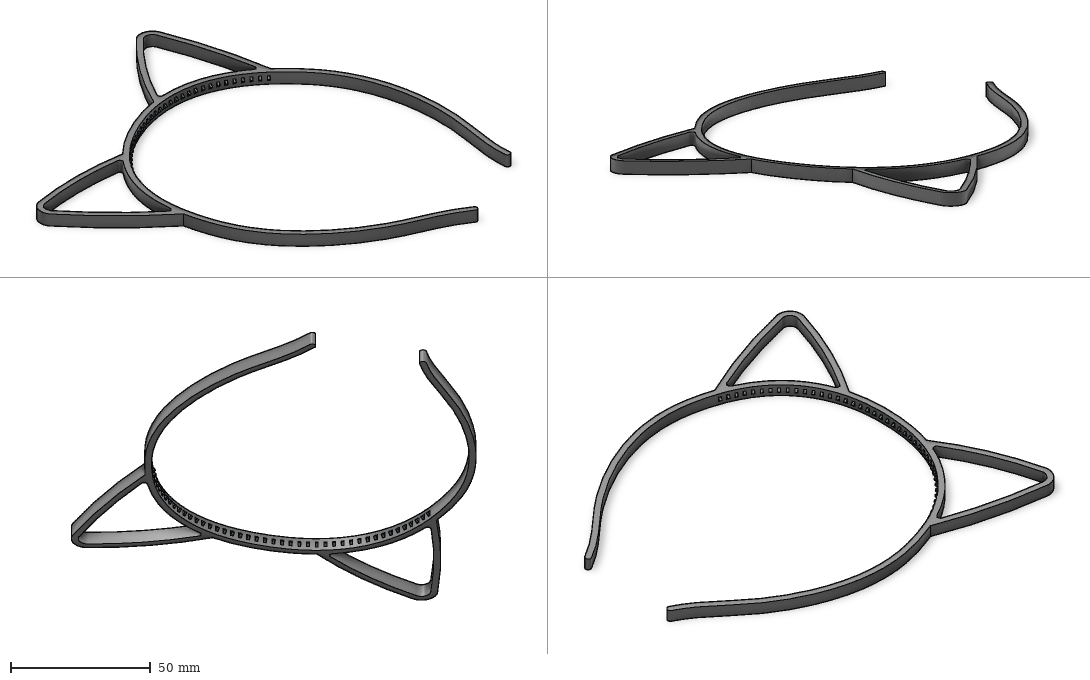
import cadquery as cq
HEIGHT = 5.0
STRIP_WIDTH = 2.5
HALF_WIDTH = STRIP_WIDTH / 2

CROWN = (17.5, 0.0)
BAND_HALF = [
    (23.0, 26.87),
    (36.0, 43.65),
    (55.0, 53.87),
    (77.0, 57.76),
    (105.0, 51.64),
    (130.0, 36.22),
    (146.0, 23.1),
    (150.35, 20.6),
]
BAND_SAMPLES = 24

EAR_CROWN_ROOT = (20.2, 19.6)
EAR_CROWN_SIDE = (6.9, 44.4)
EAR_TIP_START = (1.25, 60.85)
EAR_TIP_END = (6.3, 66.62)
EAR_OUTER_SIDE = (16.5, 64.52)
EAR_OUTER_ROOT = (52.0, 52.8)

OPENING_FILLET = 1.25
CROWN_CORNER = (19.8, 22.4)
OUTER_CORNER = (48.8, 52.8)

TOOTH_PITCH = 3.2
TEETH_PER_HALF = 21
TOOTH_WIDTH = 1.0
TOOTH_HEIGHT = 2.0
TOOTH_LENGTH = 1.0
TOOTH_ROOT = 0.2

UP = cq.Vector(0, 0, 1)


def mirrored(points):
    return [(x, -y) for x, y in points]


def band_centreline():
    """Smooth curve from the lower tip, round the crown, to the upper tip."""
    points = mirrored(BAND_HALF)[::-1] + [CROWN] + BAND_HALF
    return cq.Edge.makeSpline([cq.Vector(*point) for point in points])


def inward_normal(path, station):
    """Unit vector square to the path, pointing into the headband."""
    return path.tangentAt(station, mode="length").cross(UP)


def side_curve(path, offset):
    """Curve running beside the path; a positive offset lies inside the headband."""
    stations = [i / BAND_SAMPLES for i in range(BAND_SAMPLES + 1)]
    points = [path.positionAt(s) + inward_normal(path, s) * offset for s in stations]
    return cq.Edge.makeSpline(points)


def round_end(path, station, direction):
    """Half circle closing the band at one end of the path."""
    centre = path.positionAt(station)
    across = inward_normal(path, station) * HALF_WIDTH
    outermost = centre + path.tangentAt(station) * (direction * HALF_WIDTH)
    return cq.Edge.makeThreePointArc(centre - across, outermost, centre + across)


def extruded(outline):
    return cq.Workplane(cq.Solid.extrudeLinear(outline, [], UP * HEIGHT))


def headband(path):
    edges = [
        side_curve(path, HALF_WIDTH),
        round_end(path, 1, 1),
        side_curve(path, -HALF_WIDTH),
        round_end(path, 0, -1),
    ]
    return extruded(cq.Wire.assembleEdges(edges))


def upper_ear():
    path = (
        cq.Workplane("XY")
        .moveTo(*EAR_CROWN_ROOT)
        .threePointArc(EAR_CROWN_SIDE, EAR_TIP_START)
        .tangentArcPoint(EAR_TIP_END, relative=False)
        .threePointArc(EAR_OUTER_SIDE, EAR_OUTER_ROOT)
        .wire()
        .val()
    )
    return extruded(path.offset2D(HALF_WIDTH)[0])


def tooth(path, station):
    """Wedge standing square out of the inner face of the band."""
    inward = inward_normal(path, station)
    along = path.tangentAt(station, mode="length")
    origin = path.positionAt(station) + inward * HALF_WIDTH + UP * (HEIGHT / 2)
    plane = cq.Plane(origin=origin, xDir=inward, normal=along)
    half_height = TOOTH_HEIGHT / 2
    profile = [
        (-TOOTH_ROOT, -half_height),
        (0, -half_height),
        (TOOTH_LENGTH, 0),
        (0, half_height),
        (-TOOTH_ROOT, half_height),
    ]
    return cq.Workplane(plane).polyline(profile).close().extrude(TOOTH_WIDTH / 2, both=True).val()


def comb(path):
    """All the teeth, evenly pitched along the centreline to both sides of the crown."""
    pitch = TOOTH_PITCH / path.Length()
    return [tooth(path, 0.5 + i * pitch) for i in range(-TEETH_PER_HALF, TEETH_PER_HALF + 1)]


def round_opening(body, corner):
    x, y = corner
    nearest = cq.selectors.NearestToPointSelector((x, y, HEIGHT / 2))
    return body.edges(nearest).fillet(OPENING_FILLET)


centreline = band_centreline()
ear = upper_ear()
frame = headband(centreline).union(ear).union(ear.mirror("XZ"))
for corner in (CROWN_CORNER, OUTER_CORNER, *mirrored([CROWN_CORNER, OUTER_CORNER])):
    frame = round_opening(frame, corner)

result = cq.Workplane(frame.val().fuse(*comb(centreline)).Solids()[0])